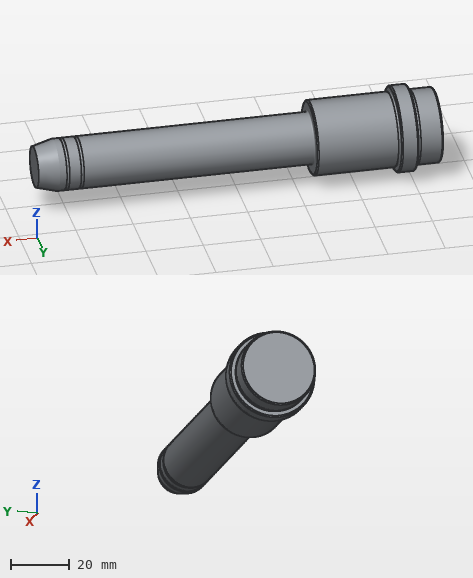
import cadquery as cq
import math

total_length = 140.0
flange_start = 9.0
flange_end = 15.0
body_end = 44.0
taper_start = 133.0
shaft_groove_centers = (125.0, 130.0)

body_diameter = 26.0
flange_diameter = 30.0
shaft_diameter = 18.0

edge_chamfer = 0.49
root_fillet = 0.49
taper_angle = 15.0

head_groove_width = 1.1
head_groove_depth = 0.4
body_groove_width = 0.7
body_groove_depth = 0.3
shaft_groove_width = 1.0
shaft_groove_depth = 0.4

body_radius = body_diameter / 2
shaft_radius = shaft_diameter / 2


def revolve_about_x(profile):
    """Full turn of an XY profile about the X axis."""
    return profile.revolve(360, (0, 0, 0), (1, 0, 0))


def make_pin():
    """Chamfered barrel, filleted into a guide shaft with a conical tip."""
    tip_radius = shaft_radius - (total_length - taper_start) * math.tan(math.radians(taper_angle))
    profile = (
        cq.Workplane("XY")
        .lineTo(0, body_radius - edge_chamfer)
        .lineTo(edge_chamfer, body_radius)
        .lineTo(body_end - edge_chamfer, body_radius)
        .lineTo(body_end, body_radius - edge_chamfer)
        .lineTo(body_end, shaft_radius + root_fillet)
        .tangentArcPoint((body_end + root_fillet, shaft_radius), relative=False)
        .lineTo(taper_start, shaft_radius)
        .lineTo(total_length, tip_radius)
        .lineTo(total_length, 0)
        .close()
    )
    return revolve_about_x(profile)


def make_flange():
    """Locating collar around the barrel, chamfered at both rims."""
    flange = (
        cq.Workplane("YZ", origin=(flange_start, 0, 0))
        .circle(flange_diameter / 2)
        .extrude(flange_end - flange_start)
    )
    return flange.faces("<X or >X").chamfer(edge_chamfer)


def make_groove(center, surface_radius, width, depth):
    """Ring with a round inner side, to be cut into a cylindrical surface."""
    profile = (
        cq.Workplane("XY")
        .moveTo(center - width / 2, surface_radius)
        .threePointArc((center, surface_radius - depth), (center + width / 2, surface_radius))
        .close()
    )
    return revolve_about_x(profile)


result = make_pin().union(make_flange())

head_groove_center = flange_start - head_groove_width / 2
body_groove_center = flange_end + body_groove_width / 2
result = result.cut(make_groove(head_groove_center, body_radius, head_groove_width, head_groove_depth))
result = result.cut(make_groove(body_groove_center, body_radius, body_groove_width, body_groove_depth))

for groove_center in shaft_groove_centers:
    result = result.cut(make_groove(groove_center, shaft_radius, shaft_groove_width, shaft_groove_depth))